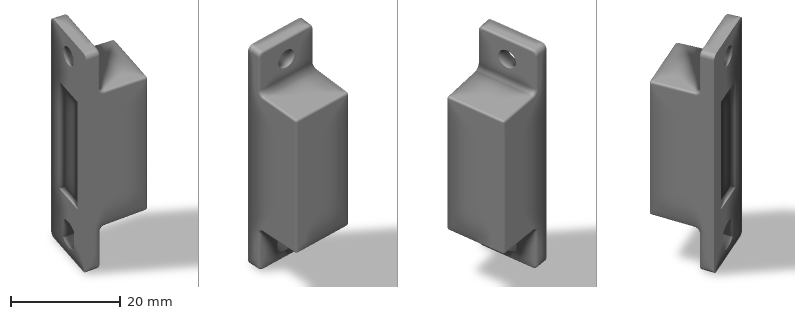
import cadquery as cq
import math

LENGTH = 51.0
WIDTH = 13.3
DEPTH = 13.0
PLATE_THICKNESS = 3.0
BODY_LENGTH = 31.4

DRAFT_ANGLE = 1.0
CORNER_RADIUS = 1.0
INNER_RADIUS = 1.0
EDGE_RADIUS = 0.45

HOLE_DIAMETER = 4.0
HOLE_Z = 20.8
SLOT_WIDTH = 4.25
SLOT_HEIGHT = 5.8
SLOT_END_RISE = 0.75
SLOT_Z = -20.8
POCKET_WIDTH = 7.0
POCKET_LENGTH = 25.05
POCKET_DEPTH = 1.0

MARGIN = 0.05


def draft_inset(distance):
    """Amount a drafted face moves inward over a distance along Y."""
    return distance * math.tan(math.radians(DRAFT_ANGLE))


def side_profile():
    """Plate and body outline, with drafted ends, extruded along X over the full width."""
    plate_top = LENGTH / 2
    plate_rear = plate_top - draft_inset(PLATE_THICKNESS)
    root = BODY_LENGTH / 2
    tip = root - draft_inset(DEPTH - PLATE_THICKNESS)
    return (
        cq.Workplane("YZ")
        .moveTo(0, -plate_top)
        .lineTo(PLATE_THICKNESS, -plate_rear)
        .lineTo(PLATE_THICKNESS, -root)
        .lineTo(DEPTH, -tip)
        .lineTo(DEPTH, tip)
        .lineTo(PLATE_THICKNESS, root)
        .lineTo(PLATE_THICKNESS, plate_rear)
        .lineTo(0, plate_top)
        .close()
        .extrude(WIDTH / 2, both=True)
    )


def drafted_sides():
    """Full-length block whose X sides narrow toward the rear."""
    front = WIDTH / 2
    rear = front - draft_inset(DEPTH)
    return (
        cq.Workplane("XY")
        .polyline([(-front, 0), (front, 0), (rear, DEPTH), (-rear, DEPTH)])
        .close()
        .extrude(LENGTH / 2, both=True)
    )


def slab(y_start, y_end, half_height):
    """Selector for edges centred in a full-width slab of the part."""
    return cq.selectors.BoxSelector(
        (-WIDTH, y_start, -half_height), (WIDTH, y_end, half_height)
    )


def make_body():
    """Solid plate and body with every corner and rear edge rounded."""
    body = side_profile().intersect(drafted_sides())

    plate_rear_plane = (PLATE_THICKNESS - MARGIN, PLATE_THICKNESS + MARGIN)
    inner_corners = slab(*plate_rear_plane, BODY_LENGTH / 2 + MARGIN)
    body = body.edges("|X").edges(inner_corners).fillet(INNER_RADIUS)

    plate_corners = slab(MARGIN, PLATE_THICKNESS - MARGIN, LENGTH)
    body = body.edges(plate_corners).fillet(CORNER_RADIUS)

    rear_edges = slab(PLATE_THICKNESS - MARGIN, DEPTH + MARGIN, LENGTH)
    seam_reach = PLATE_THICKNESS + INNER_RADIUS + MARGIN
    inner_area = slab(0, seam_reach, BODY_LENGTH / 2 + INNER_RADIUS + MARGIN)
    crosswise = cq.selectors.ParallelDirSelector(cq.Vector(1, 0, 0))
    smooth_seams = cq.selectors.AndSelector(inner_area, crosswise)
    return body.edges(rear_edges - smooth_seams).fillet(EDGE_RADIUS)


def make_slot():
    """Elongated hole with straight sides and shallow curved ends."""
    half_width = SLOT_WIDTH / 2
    crown = SLOT_HEIGHT / 2
    shoulder = crown - SLOT_END_RISE
    return (
        cq.Workplane("XZ", origin=(0, 0, SLOT_Z))
        .moveTo(-half_width, -shoulder)
        .threePointArc((0, -crown), (half_width, -shoulder))
        .lineTo(half_width, shoulder)
        .threePointArc((0, crown), (-half_width, shoulder))
        .close()
        .extrude(-PLATE_THICKNESS)
    )


def make_hole():
    """Round through hole in the plate."""
    return (
        cq.Workplane("XZ", origin=(0, 0, HOLE_Z))
        .circle(HOLE_DIAMETER / 2)
        .extrude(-PLATE_THICKNESS)
    )


def make_pocket():
    """Shallow rectangular recess in the front face."""
    return (
        cq.Workplane("XZ")
        .rect(POCKET_WIDTH, POCKET_LENGTH)
        .extrude(-POCKET_DEPTH)
    )


result = make_body().cut(make_hole()).cut(make_slot()).cut(make_pocket())